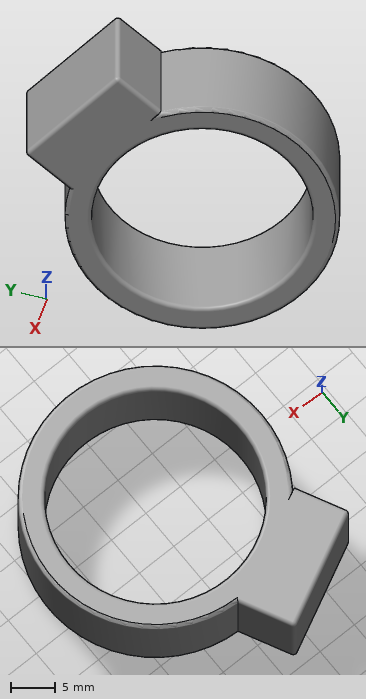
import cadquery as cq
import math

bore_diameter = 25.0
wall_thickness = 3.0
ring_height = 12.0
ring_radius = bore_diameter / 2 + wall_thickness

boss_width = 15.0
boss_reach = 20.68
boss_turn = 26.7

edge_round = 0.5

flat_half_width = boss_width / 2 - edge_round
foot_level = math.sqrt(ring_radius**2 - flat_half_width**2)


def turn_to_boss(shape):
    """Turn a shape built towards +Y to the direction of the boss."""
    return shape.rotate((0, 0, 0), (0, 0, 1), boss_turn)


def make_disc():
    """Plain cylindrical blank of the ring, without its bore."""
    return cq.Workplane("XY").circle(ring_radius).extrude(ring_height)


def make_boss():
    """Box from the ring axis out to the boss face, as high as the ring."""
    box = (
        cq.Workplane("XY")
        .rect(boss_width, boss_reach)
        .extrude(ring_height)
        .translate((0, boss_reach / 2, 0))
        .edges("|Z and >Y")
        .fillet(edge_round)
    )
    return turn_to_boss(box)


def make_foot_relief():
    """What is cleared under the left foot of the boss, outside the rounded ring."""
    rounded_disc = make_disc().faces("<Z or >Z").edges().fillet(edge_round)
    foot = (
        cq.Workplane("XY")
        .rect(boss_width / 2, foot_level)
        .extrude(ring_height)
        .translate((-boss_width / 4, foot_level / 2, 0))
    )
    return turn_to_boss(foot).cut(rounded_disc)


def make_housing():
    """Ring and boss as one body, bored through, with rounded rims."""
    bore = cq.Workplane("XY").circle(bore_diameter / 2).extrude(ring_height)
    blank = make_disc().union(make_boss()).cut(bore)
    rounded = blank.faces("<Z or >Z").edges().fillet(edge_round)
    return rounded.cut(make_foot_relief())


housing = make_housing()

result = cq.Compound.makeCompound([housing.val()])